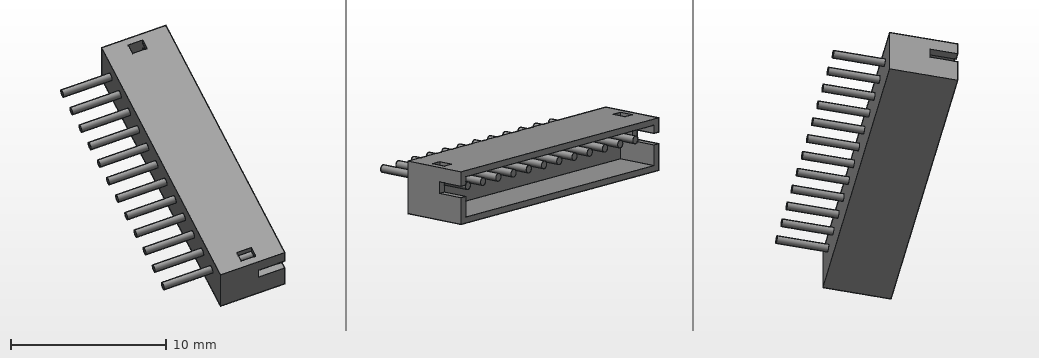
import cadquery as cq

length = 19.5
depth = 4.5
height = 3.5
end_wall = 0.49
face_wall = 0.4
cavity_depth = 2.85
cavity_floor = depth - cavity_depth

slot_depth = 1.83
slot_bottom = 1.77
slot_top = 2.54

window_width = 0.72
window_length = cavity_depth - slot_depth

pin_count = 12
pin_pitch = 1.5
pin_diameter = 0.5
pin_height = 2.18
pin_projection = 3.4
pin_recess = 0.7
pin_length = pin_projection + depth - pin_recess


def box(x_size, y_size, z_size, corner):
    """Box with its lowest X, Y, Z corner at the given point."""
    return cq.Workplane("XY").box(x_size, y_size, z_size, centered=False).translate(corner)


def make_housing():
    housing = box(length, depth, height, (-length / 2, 0, 0))
    inner_length = length - 2 * end_wall
    inner_height = height - 2 * face_wall
    cavity = box(inner_length, cavity_depth, inner_height, (-inner_length / 2, cavity_floor, face_wall))

    slots = box(length, slot_depth, slot_top - slot_bottom,
                (-length / 2, depth - slot_depth, slot_bottom))
    housing = housing.cut(cavity).cut(slots)

    window_left_edges = (-inner_length / 2, inner_length / 2 - window_width)
    for left_edge in window_left_edges:
        window = box(window_width, window_length, 2 * face_wall,
                     (left_edge, cavity_floor, height - 2 * face_wall))
        housing = housing.cut(window)
    return housing


def make_pin(x):
    """Pin running along Y through the housing front into the cavity."""
    start = cq.Vector(x, -pin_projection, pin_height)
    return cq.Solid.makeCylinder(pin_diameter / 2, pin_length, start, cq.Vector(0, 1, 0))


result = make_housing()
first_pin_x = -(pin_count - 1) * pin_pitch / 2
for index in range(pin_count):
    result = result.union(cq.Workplane(obj=make_pin(first_pin_x + index * pin_pitch)))